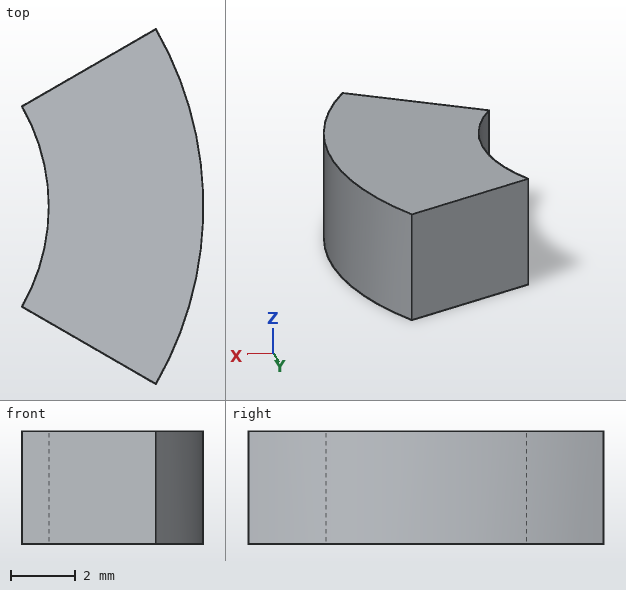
import cadquery as cq
import math

outer_radius = 11.0
inner_radius = 6.2
height = 3.5
half_angle = math.radians(30)


def ring_point(radius, angle):
    """Point in the XY plane at a radius and angle from the ring axis."""
    return (radius * math.cos(angle), radius * math.sin(angle))


result = (
    cq.Workplane("XY")
    .moveTo(*ring_point(inner_radius, -half_angle))
    .lineTo(*ring_point(outer_radius, -half_angle))
    .threePointArc(ring_point(outer_radius, 0), ring_point(outer_radius, half_angle))
    .lineTo(*ring_point(inner_radius, half_angle))
    .threePointArc(ring_point(inner_radius, 0), ring_point(inner_radius, -half_angle))
    .close()
    .extrude(height)
)